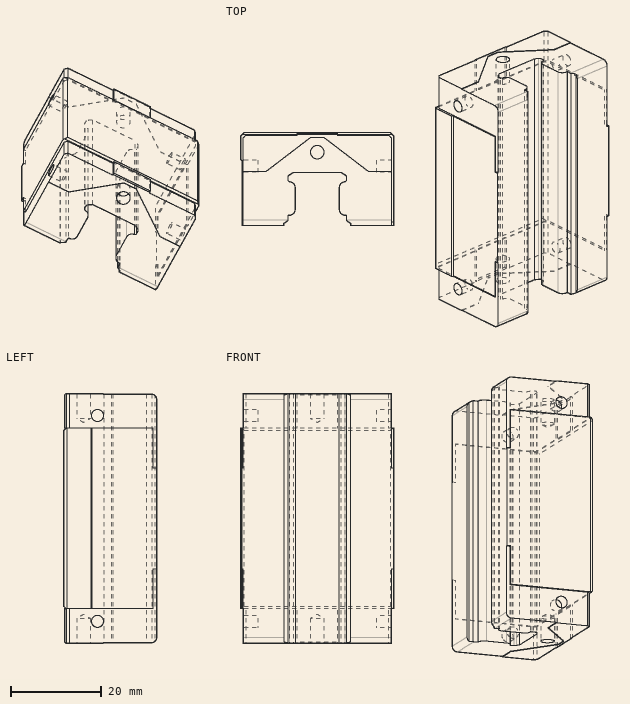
import cadquery as cq
import math

LENGTH = 55.5
HEIGHT = 20.7
BODY_WIDTH = 34.0
CAP_WIDTH = 32.95
TOP_Y = HEIGHT / 2
BOTTOM_Y = -HEIGHT / 2

BODY_LENGTH = 40.05
BODY_TOP_CHAMFER = 0.8
BODY_END_CHAMFER = 0.5
SIDE_STEP = 0.3
SIDE_STEP_Y = 4.35

CAP_LENGTH = (LENGTH - BODY_LENGTH) / 2
CAP_DROP = 0.65
CAP_TOP_Y = TOP_Y - CAP_DROP
CAP_CHAMFER = 0.6
TAB_DROP = 0.2
TAB_TOP_Y = TOP_Y - TAB_DROP
TAB_HALF_WIDTH = 4.55
TAB_CHAMFER = 0.3

PLATE_SETBACK = 0.1
PLATE_SHOULDER = (11.45, 1.6)
PLATE_PEAK = (1.55, 9.15)
PLATE_ROUNDING = 1.2

ARM_THICKNESS = 0.85
ARM_GAP = 22.5

CHANNEL_ROOF_Y = 1.4
CHANNEL_ROOF_HALF = 5.35
GROOVE_HALF = 6.5
GROOVE_SLOPE_END = (6.1, 0.9)
GROOVE_ARC_MIDDLE = (6.4, 0.7)
GROOVE_TOP_Y = 0.45
GROOVE_BOTTOM_Y = -0.35
NECK_HALF = 4.9
NECK_CORNER_HALF = 6.2
NECK_TOP_Y = -0.6
NECK_BOTTOM_Y = -8.1
NECK_ROUNDING = NECK_CORNER_HALF - NECK_HALF
MOUTH_CHAMFER_Y = -9.25
MOUTH_CHAMFER = 0.65
MOUTH_HALF = 7.45

SIDE_HOLE_DIAMETER = 2.65
SIDE_HOLE_DEPTH = 3.35
SIDE_HOLE_Y = 2.85
SIDE_HOLE_Z = 22.85
END_HOLE_DIAMETER = 3.0
END_HOLE_DEPTH = 5.55
END_HOLE_TIP = 0.9
END_HOLE_Y = 5.95


def block(x_size, y_low, y_high, z_size):
    """Box centred on X and Z between two Y levels."""
    box = cq.Workplane("XY").box(x_size, y_high - y_low, z_size)
    return box.translate((0, (y_low + y_high) / 2, 0))


def steel_block():
    """Centre block with its side relief and the recesses for the arms."""
    body = block(BODY_WIDTH, BOTTOM_Y, TOP_Y, BODY_LENGTH)
    body = body.faces(">Y").edges("|Z").chamfer(BODY_TOP_CHAMFER)
    body = body.faces(">Y").edges("|X").chamfer(BODY_END_CHAMFER)

    left = -BODY_WIDTH / 2
    side_relief = (
        cq.Workplane("XY")
        .moveTo(left, SIDE_STEP_Y)
        .lineTo(left + SIDE_STEP, SIDE_STEP_Y - SIDE_STEP)
        .lineTo(left + SIDE_STEP, BOTTOM_Y)
        .lineTo(left, BOTTOM_Y)
        .close()
        .extrude(BODY_LENGTH / 2, both=True)
    )
    body = body.cut(side_relief)

    arm_length = (BODY_LENGTH - ARM_GAP) / 2
    arm_z = (BODY_LENGTH - arm_length) / 2
    recess = block(BODY_WIDTH, BOTTOM_Y, BOTTOM_Y + ARM_THICKNESS, arm_length)
    recess = recess.cut(block(CAP_WIDTH, BOTTOM_Y, TOP_Y, arm_length))
    for z in (arm_z, -arm_z):
        body = body.cut(recess.translate((0, 0, z)))
    return body


def end_cap():
    """Cap at the +Z end."""
    base_z = LENGTH / 2 - CAP_LENGTH
    plate_z = LENGTH / 2 - PLATE_SETBACK
    half = CAP_WIDTH / 2

    def cap_box(x_size, y_low, y_high, z_top):
        centre_z = (base_z + z_top) / 2
        return block(x_size, y_low, y_high, z_top - base_z).translate((0, 0, centre_z))

    cap = cap_box(CAP_WIDTH, BOTTOM_Y, CAP_TOP_Y, plate_z)
    cap = cap.faces(">Z").edges("<Y").fillet(PLATE_ROUNDING)

    shoulder_x, shoulder_y = PLATE_SHOULDER
    peak_x, peak_y = PLATE_PEAK
    roof = (
        cq.Workplane("XY")
        .workplane(offset=base_z)
        .polyline([
            (-half, CAP_TOP_Y), (-half, shoulder_y), (-shoulder_x, shoulder_y), (-peak_x, peak_y),
            (peak_x, peak_y), (shoulder_x, shoulder_y), (half, shoulder_y), (half, CAP_TOP_Y),
        ])
        .close()
        .extrude(CAP_LENGTH)
    )
    cap = cap.union(roof)
    cap = cap.faces(">Y").edges("|Z").chamfer(CAP_CHAMFER)

    tab = cap_box(2 * TAB_HALF_WIDTH, peak_y, TAB_TOP_Y, LENGTH / 2)
    tab = tab.faces(">Z").edges(">Y").chamfer(TAB_CHAMFER)
    return cap.union(tab)


def half_channel():
    """Right half of the rail channel, over the full length."""
    diagonal = NECK_ROUNDING * (1 - math.cos(math.pi / 4))
    return (
        cq.Workplane("XY")
        .moveTo(0, CHANNEL_ROOF_Y)
        .lineTo(CHANNEL_ROOF_HALF, CHANNEL_ROOF_Y)
        .lineTo(*GROOVE_SLOPE_END)
        .threePointArc(GROOVE_ARC_MIDDLE, (GROOVE_HALF, GROOVE_TOP_Y))
        .lineTo(GROOVE_HALF, GROOVE_BOTTOM_Y)
        .lineTo(NECK_CORNER_HALF, NECK_TOP_Y)
        .threePointArc(
            (NECK_HALF + diagonal, NECK_TOP_Y - diagonal),
            (NECK_HALF, NECK_TOP_Y - NECK_ROUNDING),
        )
        .lineTo(NECK_HALF, NECK_BOTTOM_Y + NECK_ROUNDING)
        .threePointArc(
            (NECK_HALF + diagonal, NECK_BOTTOM_Y + diagonal),
            (NECK_CORNER_HALF, NECK_BOTTOM_Y),
        )
        .lineTo(GROOVE_HALF, NECK_BOTTOM_Y)
        .lineTo(GROOVE_HALF, MOUTH_CHAMFER_Y)
        .lineTo(MOUTH_HALF, MOUTH_CHAMFER_Y - MOUTH_CHAMFER)
        .lineTo(MOUTH_HALF, BOTTOM_Y)
        .lineTo(0, BOTTOM_Y)
        .close()
        .extrude(LENGTH / 2, both=True)
    )


def side_hole(z):
    """Blind hole into the -X side of a cap."""
    centre = cq.Workplane("YZ").center(SIDE_HOLE_Y, z)
    hole = centre.circle(SIDE_HOLE_DIAMETER / 2).extrude(SIDE_HOLE_DEPTH)
    return hole.translate((-CAP_WIDTH / 2, 0, 0))


def end_hole():
    """Blind hole with a drill tip into the +Z end face."""
    radius = END_HOLE_DIAMETER / 2
    return (
        cq.Workplane("XZ")
        .polyline([
            (0, 0), (radius, 0), (radius, -END_HOLE_DEPTH), (0, -END_HOLE_DEPTH - END_HOLE_TIP),
        ])
        .close()
        .revolve(360, (0, 0), (0, 1))
        .translate((0, END_HOLE_Y, LENGTH / 2))
    )


cap = end_cap()
carriage = steel_block().union(cap).union(cap.mirror("XY"))

channel = half_channel()
carriage = carriage.cut(channel).cut(channel.mirror("YZ"))

for z in (SIDE_HOLE_Z, -SIDE_HOLE_Z):
    hole = side_hole(z)
    carriage = carriage.cut(hole).cut(hole.mirror("YZ"))

hole = end_hole()
result = carriage.cut(hole).cut(hole.mirror("XY"))